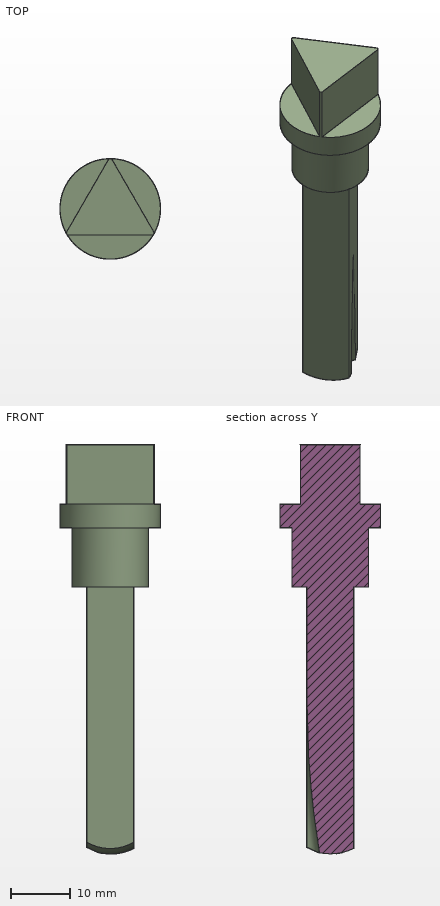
import cadquery as cq
import math

total_height = 69.0
head_height = 10.0
flange_height = 4.0
collar_height = 10.0
shank_height = total_height - head_height - flange_height - collar_height

flange_radius = 8.5
collar_radius = 6.5
shank_width = 7.95
head_inner_radius = 4.4

dome_radius = 8.8

flute_radius = 1.8
flute_length = 26.0
flute_sweep_radius = 158.7

collar_bottom = shank_height
flange_bottom = collar_bottom + collar_height
head_bottom = flange_bottom + flange_height


def cylinder(radius, bottom, height):
    return cq.Workplane("XY", origin=(0, 0, bottom)).circle(radius).extrude(height)


def make_shank():
    """Square bar whose lower end is rounded by a sphere."""
    bar = cq.Workplane("XY").rect(shank_width, shank_width).extrude(shank_height)
    ball = cq.Workplane("XY", origin=(0, 0, dome_radius)).sphere(dome_radius)
    column = cylinder(dome_radius, dome_radius, shank_height - dome_radius)
    return bar.intersect(ball.union(column))


def make_flute_cutter():
    """Round rod bent to a large arc: it touches the -X face at its top and sinks in toward the bottom."""
    rod_center_x = -shank_width / 2 - flute_radius
    sweep_angle = math.degrees(math.asin((flute_length + flute_radius) / flute_sweep_radius))
    return (
        cq.Workplane("XY", origin=(rod_center_x, 0, flute_length))
        .circle(flute_radius)
        .revolve(sweep_angle, (flute_sweep_radius, 0, 0), (flute_sweep_radius, -1, 0))
    )


def make_head():
    """Equilateral triangular prism, one corner toward +Y, its corners trimmed to the flange circle."""
    corner_radius = 2 * head_inner_radius
    corners = []
    for index in range(3):
        angle = math.radians(90 + 120 * index)
        corners.append((corner_radius * math.cos(angle), corner_radius * math.sin(angle)))
    prism = cq.Workplane("XY", origin=(0, 0, head_bottom)).polyline(corners).close().extrude(head_height)
    return prism.intersect(cylinder(flange_radius, head_bottom, head_height))


collar = cylinder(collar_radius, collar_bottom, collar_height)
flange = cylinder(flange_radius, flange_bottom, flange_height)
shank = make_shank().cut(make_flute_cutter())

result = shank.union(collar).union(flange).union(make_head())